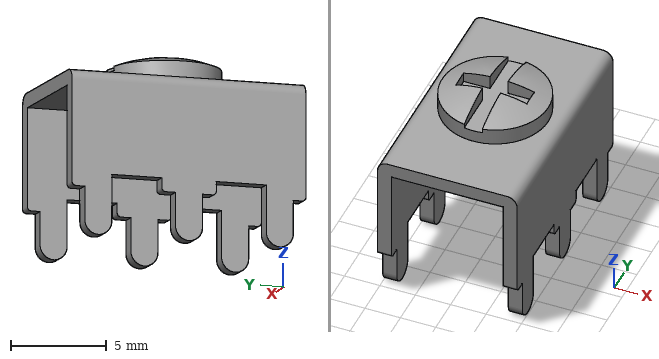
import cadquery as cq

length = 12.9
width = 7.9
thickness = 0.8
top_z = 8.78
bend_radius = 0.59

pin_width = 1.5
pin_pitch = 5.0
pin_offsets = [-pin_pitch, 0.0, pin_pitch]
shoulder_z = 2.52
notch_z = 3.24
center_pad_width = 3.0
shoulder_radius = 0.2

shank_diameter = 4.0
shank_bottom_z = 6.8
head_diameter = 6.0
rim_z = 9.73
dome_top_z = 10.33

slot_width = 1.02
slot_floor_z = 9.5
short_slot_length = 4.0


def make_channel():
    """Plate with two side walls reaching down to the shoulders."""
    height = top_z - shoulder_z
    outer = (
        cq.Workplane("XY")
        .workplane(offset=shoulder_z)
        .box(width, length, height, centered=(True, True, False))
        .edges("|Y and >Z")
        .fillet(bend_radius)
        .edges("|X and <Z")
        .fillet(shoulder_radius)
    )
    inner = (
        cq.Workplane("XY")
        .workplane(offset=shoulder_z)
        .box(width - 2 * thickness, length, height - thickness, centered=(True, True, False))
    )
    return outer.cut(inner)


def make_notch(side):
    """Cutter for the gap between the middle pad and an outer pin."""
    inner_y = center_pad_width / 2
    outer_y = pin_pitch - pin_width / 2
    return (
        cq.Workplane("XY")
        .workplane(offset=shoulder_z)
        .center(0, side * (inner_y + outer_y) / 2)
        .box(width, outer_y - inner_y, notch_z - shoulder_z, centered=(True, True, False))
    )


def make_pin(side, y):
    """Flat pin with a fully rounded tip, in line with a side wall."""
    radius = pin_width / 2
    outer_face_x = side * width / 2
    return (
        cq.Workplane("YZ", origin=(outer_face_x, y, 0))
        .moveTo(-radius, notch_z)
        .lineTo(-radius, radius)
        .threePointArc((0, 0), (radius, radius))
        .lineTo(radius, notch_z)
        .close()
        .extrude(-side * thickness)
    )


def make_bracket():
    bracket = make_channel()
    for side in (-1, 1):
        bracket = bracket.cut(make_notch(side))
    pad_corners = cq.selectors.BoxSelector(
        (-width, -center_pad_width / 2 - shoulder_radius, shoulder_z - shoulder_radius),
        (width, center_pad_width / 2 + shoulder_radius, shoulder_z + shoulder_radius),
    )
    bracket = bracket.edges("|X").edges(pad_corners).fillet(shoulder_radius)
    for side in (-1, 1):
        for y in pin_offsets:
            bracket = bracket.union(make_pin(side, y))
    screw_hole = (
        cq.Workplane("XY")
        .workplane(offset=top_z - thickness)
        .circle(shank_diameter / 2)
        .extrude(thickness)
    )
    return bracket.cut(screw_hole)


def make_slot(x_size, y_size):
    """Cutter from the slot floor up to the top of the dome."""
    return (
        cq.Workplane("XY")
        .workplane(offset=slot_floor_z)
        .box(x_size, y_size, dome_top_z - slot_floor_z, centered=(True, True, False))
    )


def make_screw():
    shank_radius = shank_diameter / 2
    head_radius = head_diameter / 2
    dome_height = dome_top_z - rim_z
    dome_radius = (head_radius**2 + dome_height**2) / (2 * dome_height)
    mid_x = head_radius / 2
    mid_z = dome_top_z - dome_radius + (dome_radius**2 - mid_x**2) ** 0.5
    screw = (
        cq.Workplane("XZ")
        .moveTo(0, shank_bottom_z)
        .lineTo(shank_radius, shank_bottom_z)
        .lineTo(shank_radius, top_z)
        .lineTo(head_radius, top_z)
        .lineTo(head_radius, rim_z)
        .threePointArc((mid_x, mid_z), (0, dome_top_z))
        .close()
        .revolve(360, (0, 0, 0), (0, 1, 0))
    )
    long_slot = make_slot(slot_width, head_diameter)
    short_slot = make_slot(short_slot_length, slot_width)
    return screw.cut(long_slot).cut(short_slot)


bracket = make_bracket()
screw = make_screw()
result = cq.Compound.makeCompound([bracket.solids().val(), screw.solids().val()])